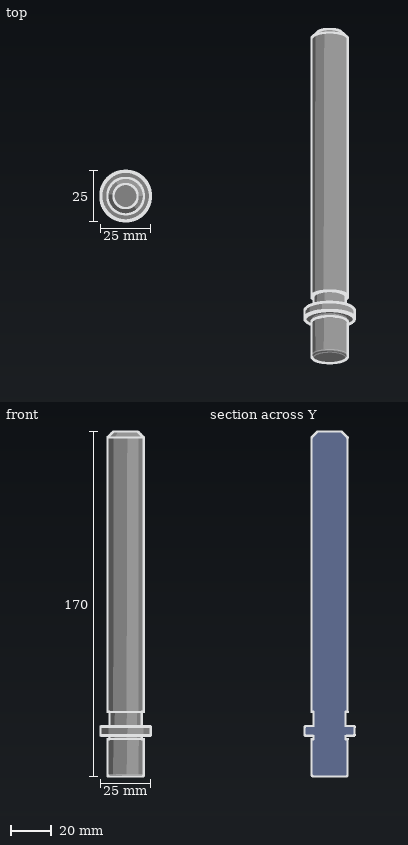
import cadquery as cq

total_length = 170.0
shaft_radius = 9.0
collar_radius = 12.5
neck_radius = 8.0

lower_shoulder = 18.5
collar_bottom = 20.0
collar_top = 25.0
upper_shoulder = 32.0

tip_chamfer = 3.0
base_fillet = 1.0
collar_chamfer = 0.5
undercut_fillet = 0.5


def cylinder(radius, bottom, top):
    """Solid cylinder about Z between two heights."""
    return cq.Workplane("XY").workplane(offset=bottom).circle(radius).extrude(top - bottom)


spigot = cylinder(shaft_radius, 0, lower_shoulder).faces("<Z").edges().fillet(base_fillet)

neck = cylinder(neck_radius, lower_shoulder, upper_shoulder)

collar = cylinder(collar_radius, collar_bottom, collar_top).edges().chamfer(collar_chamfer)

shaft = cylinder(shaft_radius, upper_shoulder, total_length).faces(">Z").edges().chamfer(tip_chamfer)

collar_on_neck = neck.union(collar)
underside_box = cq.selectors.BoxSelector(
    (-neck_radius, -neck_radius, collar_bottom - undercut_fillet / 2),
    (neck_radius, neck_radius, collar_bottom + undercut_fillet / 2),
)
underside_edges = collar_on_neck.edges(underside_box)
root_edge = underside_edges.edges(cq.selectors.RadiusNthSelector(0))
collar_on_neck = root_edge.fillet(undercut_fillet)

result = spigot.union(collar_on_neck).union(shaft)